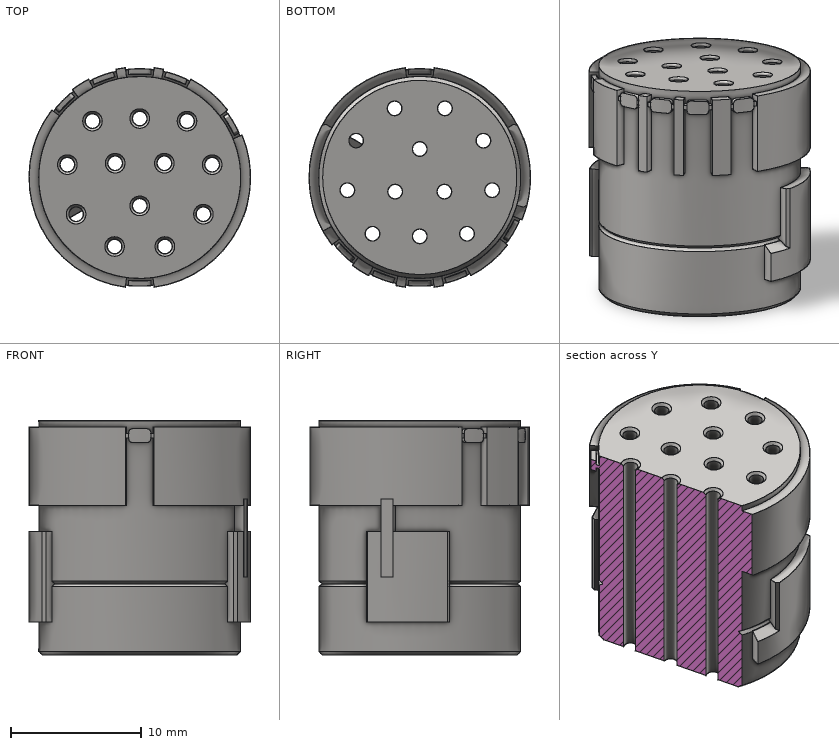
import cadquery as cq
import math

BODY_RADIUS = 7.75
BODY_HEIGHT = 18.0
BODY_SEAM_ANGLE = 60
BOTTOM_CHAMFER = 0.3
GROOVE_Z = 5.48
GROOVE_HEIGHT = 0.44
GROOVE_DEPTH = 0.25

OUTER_RADIUS = 8.5
COLLAR_BOTTOM = 11.5
COLLAR_TOP = 17.5
KEYWAY_ANGLES = (30, 70, 90, 110, 135, 270)
KEYWAY_SPAN = 15.0

TAB_Z = 16.85
TAB_WIDTH = 1.7
TAB_HEIGHT = 1.06
TAB_CORNER = 0.3
TAB_INNER_RADIUS = 7.95
TAB_OUTER_RADIUS = 8.35
WEB_HEIGHT = 0.36
WEB_OUTER_RADIUS = 8.33

CUT_MARGIN = 1.0

LUG_BOTTOM = 2.55
LUG_TOP = 9.5
LUG_EDGE_RADIUS = 8.28
LUG_EDGE_SPAN = 1.5
LEFT_LUG_START = 164.0
LEFT_LUG_END = 209.5
RIGHT_LUG_START = 180.0 - LEFT_LUG_END
RIGHT_LUG_END = 180.0 - LEFT_LUG_START

FOOT_START = 151.0
FOOT_TOP = 4.77
FOOT_TOP_AT_BODY = 5.3

RIB_RADIUS = 8.52
RIB_START = -20.5
RIB_END = -14.0
RIB_BOTTOM = 6.0
RIB_OVERLAP = 0.5

HOLE_RADIUS = 0.55
MOUTH_RADIUS = 0.75
MOUTH_DEPTH = 0.2
OUTER_RING_RADIUS = 5.64
OUTER_RING_FIRST = 130
OUTER_RING_PITCH = 40
OUTER_RING_COUNT = 8
INNER_RING_RADIUS = 2.18
INNER_RING_ANGLES = (30, 150, 270)
SINGLE_HOLE_RADIUS = 4.52
SINGLE_HOLE_ANGLE = 90
BLOCKED_HOLE_ANGLE = 210

ROOT_RADIUS = 7.3


def polar(radius, angle):
    """Point in the XY plane at a radius and an angle in degrees."""
    return radius * math.cos(math.radians(angle)), radius * math.sin(math.radians(angle))


def turned(solid, angle):
    """Turn a solid about Z by an angle in degrees."""
    return solid.rotate((0, 0, 0), (0, 0, 1), angle)


def swept(profile, start, end):
    """Sweep a (radius, z) profile about Z from one angle to another."""
    solid = cq.Workplane("XZ").polyline(profile).close().revolve(end - start, (0, 0), (0, 1))
    return turned(solid, start)


def segment(inner, outer, bottom, top, start, end):
    """Ring segment with a rectangular section and radial ends."""
    profile = [(inner, bottom), (outer, bottom), (outer, top), (inner, top)]
    return swept(profile, start, end)


def make_body():
    """Plain cylinder with a bottom chamfer and a V groove around it."""
    body = cq.Workplane("XY").circle(BODY_RADIUS).extrude(BODY_HEIGHT)
    body = body.faces("<Z").chamfer(BOTTOM_CHAMFER)
    groove = [
        (BODY_RADIUS, GROOVE_Z - GROOVE_HEIGHT / 2),
        (BODY_RADIUS - GROOVE_DEPTH, GROOVE_Z),
        (BODY_RADIUS, GROOVE_Z + GROOVE_HEIGHT / 2),
    ]
    return body.cut(swept(groove, 0, 360))


def make_collar():
    """Collar interrupted by keyways with radial walls."""
    collar = segment(ROOT_RADIUS, OUTER_RADIUS, COLLAR_BOTTOM, COLLAR_TOP, 0, 360)
    cut_radius = OUTER_RADIUS + CUT_MARGIN
    for angle in KEYWAY_ANGLES:
        start = angle - KEYWAY_SPAN / 2
        end = angle + KEYWAY_SPAN / 2
        collar = collar.cut(segment(BODY_RADIUS, cut_radius, COLLAR_BOTTOM, COLLAR_TOP, start, end))
    return collar


def make_coding_tab(angle):
    """Rounded tab with a thin web joining it to the body and the keyway walls."""
    blank = (
        cq.Workplane("YZ")
        .center(0, TAB_Z)
        .rect(TAB_WIDTH, TAB_HEIGHT)
        .extrude(OUTER_RADIUS + CUT_MARGIN)
        .edges("|X")
        .fillet(TAB_CORNER)
    )
    half_span = KEYWAY_SPAN / 2
    tab_bottom = TAB_Z - TAB_HEIGHT / 2
    tab_top = TAB_Z + TAB_HEIGHT / 2
    ring = segment(TAB_INNER_RADIUS, TAB_OUTER_RADIUS, tab_bottom, tab_top, -half_span, half_span)
    web_bottom = TAB_Z - WEB_HEIGHT / 2
    web_top = TAB_Z + WEB_HEIGHT / 2
    web = segment(ROOT_RADIUS, WEB_OUTER_RADIUS, web_bottom, web_top, -half_span, half_span)
    return turned(blank.intersect(ring).union(web), angle)


def make_lug(start, end):
    """Lug with radial ends and a bevel along both of its upright outer edges."""
    outline = (
        cq.Workplane("XY", origin=(0, 0, LUG_BOTTOM))
        .moveTo(*polar(ROOT_RADIUS, start))
        .lineTo(*polar(LUG_EDGE_RADIUS, start))
        .lineTo(*polar(OUTER_RADIUS, start + LUG_EDGE_SPAN))
        .threePointArc(
            polar(OUTER_RADIUS, (start + end) / 2),
            polar(OUTER_RADIUS, end - LUG_EDGE_SPAN),
        )
        .lineTo(*polar(LUG_EDGE_RADIUS, end))
        .lineTo(*polar(ROOT_RADIUS, end))
        .close()
    )
    return outline.extrude(LUG_TOP - LUG_BOTTOM)


def make_foot():
    """Low extension of the left lug whose top slopes up toward the body."""
    profile = [
        (ROOT_RADIUS, LUG_BOTTOM),
        (OUTER_RADIUS, LUG_BOTTOM),
        (OUTER_RADIUS, FOOT_TOP),
        (BODY_RADIUS, FOOT_TOP_AT_BODY),
        (ROOT_RADIUS, FOOT_TOP_AT_BODY),
    ]
    overlap_end = (LEFT_LUG_START + LEFT_LUG_END) / 2
    return swept(profile, FOOT_START, overlap_end)


def make_rib():
    """Upright rib whose upper end runs into the collar."""
    top = COLLAR_BOTTOM + RIB_OVERLAP
    return segment(ROOT_RADIUS, RIB_RADIUS, RIB_BOTTOM, top, RIB_START, RIB_END)


def make_contact_hole(radius, angle):
    """Through hole with a countersunk mouth at the top."""
    x, y = polar(radius, angle)
    profile = [
        (0, 0),
        (HOLE_RADIUS, 0),
        (HOLE_RADIUS, BODY_HEIGHT - MOUTH_DEPTH),
        (MOUTH_RADIUS, BODY_HEIGHT),
        (0, BODY_HEIGHT),
    ]
    return swept(profile, 0, 360).translate((x, y, 0))


def hole_places():
    """Radius and angle of every contact hole."""
    places = [(SINGLE_HOLE_RADIUS, SINGLE_HOLE_ANGLE)]
    for angle in INNER_RING_ANGLES:
        places.append((INNER_RING_RADIUS, angle))
    for index in range(OUTER_RING_COUNT):
        places.append((OUTER_RING_RADIUS, OUTER_RING_FIRST + index * OUTER_RING_PITCH))
    return places


def make_blocking_key():
    """Half-round key at lug height that closes one side of a single contact hole."""
    x, y = polar(OUTER_RING_RADIUS, BLOCKED_HOLE_ANGLE)
    height = LUG_TOP - LUG_BOTTOM
    column = cq.Workplane("XY", origin=(x, y, LUG_BOTTOM)).circle(HOLE_RADIUS).extrude(height)
    half = segment(0, BODY_RADIUS, LUG_BOTTOM, LUG_TOP, LEFT_LUG_START, BLOCKED_HOLE_ANGLE)
    return column.intersect(half)


part = turned(make_body(), BODY_SEAM_ANGLE).union(make_collar()).union(make_rib())
part = part.union(make_lug(LEFT_LUG_START, LEFT_LUG_END))
part = part.union(make_foot())
part = part.union(make_lug(RIGHT_LUG_START, RIGHT_LUG_END))
for keyway_angle in KEYWAY_ANGLES:
    part = part.union(make_coding_tab(keyway_angle))
for hole_radius, hole_angle in hole_places():
    part = part.cut(make_contact_hole(hole_radius, hole_angle))
result = part.union(make_blocking_key())